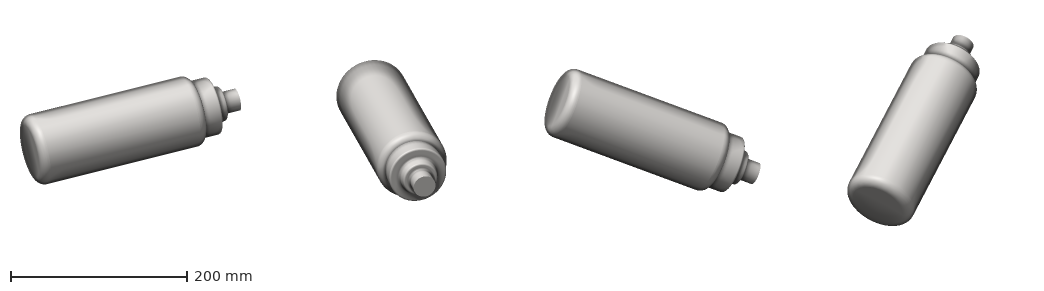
import cadquery as cq

total_length = 251.2
body_radius = 41.0
body_length = 201.7
body_fillet = 10.0
cap_radius = 33.5
cap_length = 20.0
collar_base_radius = 22.0
collar_top_radius = 19.5
collar_length = 11.3
nozzle_radius = 12.8
small_fillet = 2.3

cap_top = body_length + cap_length
collar_top = cap_top + collar_length

base_y = -total_length / 2


def cylinder_along_y(radius, start, end):
    """Solid cylinder on the Y axis between two distances from the base."""
    plane = cq.Workplane("XZ", origin=(0, base_y + start, 0))
    return plane.circle(radius).extrude(start - end)


def make_body():
    """Bottle body with the base and the shoulder rounded alike."""
    return cylinder_along_y(body_radius, 0, body_length).edges("%CIRCLE").fillet(body_fillet)


def make_closure():
    """Cap, tapered collar and nozzle, revolved as one stepped profile."""
    cap_start = body_length - body_fillet
    profile = [
        (0, cap_start),
        (cap_radius, cap_start),
        (cap_radius, cap_top),
        (collar_base_radius, cap_top),
        (collar_top_radius, collar_top),
        (nozzle_radius, collar_top),
        (nozzle_radius, total_length),
        (0, total_length),
    ]
    sketch = cq.Workplane("XY", origin=(0, base_y, 0)).polyline(profile).close()
    closure = sketch.revolve(360, (0, 0), (0, 1))
    steps = closure.edges("%CIRCLE").edges("(not <Y) and (not >Y)")
    return steps.fillet(small_fillet)


result = make_body().union(make_closure())